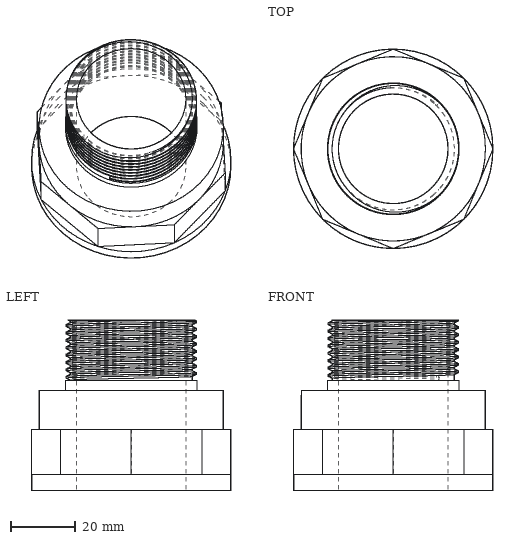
import cadquery as cq

flange_diameter = 62.0
shoulder_diameter = 57.3
collar_diameter = 41.0
bore_diameter = 34.0
flange_top = 5.0
octagon_top = 19.05
shoulder_top = 31.2
collar_top = 34.2
total_height = 53.0

root_diameter = 38.0
crest_diameter = 40.6
thread_pitch = 2.3
tooth_base_width = 2.0
tooth_crest_width = 0.5
root_overlap = 0.2
thread_turns = 9
thread_start_angle = 45
octagon_sides = 8


def cylinder(diameter, bottom, top):
    return cq.Workplane("XY").workplane(offset=bottom).circle(diameter / 2).extrude(top - bottom)


def body():
    """Flange, octagonal grip, round shoulder, collar and threaded spigot root, stacked along Z."""
    octagon = (
        cq.Workplane("XY")
        .workplane(offset=flange_top)
        .polygon(octagon_sides, flange_diameter)
        .extrude(octagon_top - flange_top)
    )
    return (
        cylinder(flange_diameter, 0, flange_top)
        .union(octagon)
        .union(cylinder(shoulder_diameter, octagon_top, shoulder_top))
        .union(cylinder(collar_diameter, shoulder_top, collar_top))
        .union(cylinder(root_diameter, collar_top, total_height))
    )


def thread():
    """Helical trapezoidal tooth, trimmed to the spigot between the collar and the top face."""
    root_radius = root_diameter / 2
    crest_radius = crest_diameter / 2
    inner_radius = root_radius - root_overlap
    half_base = tooth_base_width / 2
    half_crest = tooth_crest_width / 2

    helix = cq.Wire.makeHelix(thread_pitch, thread_pitch * thread_turns, root_radius)
    tooth = (
        cq.Workplane("XZ")
        .moveTo(inner_radius, -half_base)
        .lineTo(crest_radius, -half_crest)
        .lineTo(crest_radius, half_crest)
        .lineTo(inner_radius, half_base)
        .close()
        .sweep(cq.Workplane("XY").add(helix), isFrenet=True)
    )
    top_crest_turns = 8
    start_height = total_height - thread_pitch * (top_crest_turns - thread_start_angle / 360)
    tooth = tooth.rotate((0, 0, 0), (0, 0, 1), thread_start_angle).translate((0, 0, start_height))
    return tooth.intersect(cylinder(flange_diameter, collar_top, total_height))


through_bore = cylinder(bore_diameter, 0, total_height)
result = body().union(thread()).cut(through_bore)